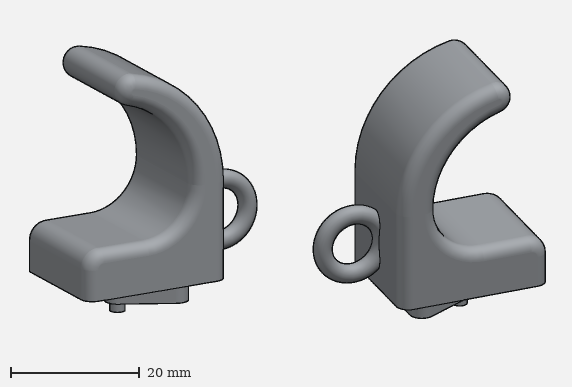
import cadquery as cq
import math

body_width = 20.0
base_length = 25.0
base_height = 8.0
wall_thickness = 6.0
inner_corner_radius = 8.0
toe_radius = 3.0
side_fillet = 2.0

nose_radius = 2.5
nose_reach = 16.55
nose_height = 33.0

ring_radius = 5.0
ring_wire_radius = 1.5
ring_offset = 4.0
ring_height = 8.0

key_height = 4.0
key_corner_radius = 2.0
key_half_spacing = 4.05
key_rear_reach = 6.0
key_tip_reach = 14.1
pin_diameter = 2.4
pin_length = 1.6

arm_start = base_height + inner_corner_radius
nose_rise = nose_height - arm_start
nose_run = nose_reach - wall_thickness

outer_radius = (nose_reach**2 + nose_rise**2 - nose_radius**2) / (2 * (nose_reach - nose_radius))
inner_radius = (nose_run**2 + nose_rise**2 - nose_radius**2) / (2 * (nose_run + nose_radius))


def on_circle(center, radius, angle):
    """Point on a circle at an angle in radians."""
    return (center[0] + radius * math.cos(angle), center[1] + radius * math.sin(angle))


def direction(start, end):
    """Angle in radians of the line from start to end."""
    return math.atan2(end[1] - start[1], end[0] - start[0])


def make_body():
    """Hook profile given as (reach towards -Y, height), extruded along X and rounded at both sides."""
    nose = (nose_reach, nose_height)
    outer_center = (outer_radius, arm_start)
    inner_center = (wall_thickness + inner_radius, arm_start)
    corner_center = (wall_thickness + inner_corner_radius, arm_start)
    toe_center = (base_length - toe_radius, base_height - toe_radius)

    outer_angle = direction(outer_center, nose)
    inner_angle = direction(inner_center, nose)
    outer_end = on_circle(outer_center, outer_radius, outer_angle)
    outer_middle = on_circle(outer_center, outer_radius, (math.pi + outer_angle) / 2)
    inner_end = on_circle(inner_center, inner_radius, inner_angle)
    inner_middle = on_circle(inner_center, inner_radius, (math.pi + inner_angle) / 2)
    nose_tip = on_circle(nose, nose_radius, (outer_angle + inner_angle - math.pi) / 2)
    corner_middle = on_circle(corner_center, inner_corner_radius, math.radians(225))
    toe_middle = on_circle(toe_center, toe_radius, math.radians(45))

    profile_plane = cq.Plane(origin=(body_width / 2, 0, 0), xDir=(0, -1, 0), normal=(-1, 0, 0))
    body = (
        cq.Workplane(profile_plane)
        .moveTo(0, 0)
        .lineTo(0, arm_start)
        .threePointArc(outer_middle, outer_end)
        .threePointArc(nose_tip, inner_end)
        .threePointArc(inner_middle, (wall_thickness, arm_start))
        .threePointArc(corner_middle, (corner_center[0], base_height))
        .lineTo(toe_center[0], base_height)
        .threePointArc(toe_middle, (base_length, toe_center[1]))
        .lineTo(base_length, 0)
        .close()
        .extrude(body_width)
    )
    side_edges = body.faces("<X or >X").edges("not <Z")
    return side_edges.fillet(side_fillet)


def make_ring():
    """Ring standing in the YZ plane, sunk partly into the back wall."""
    ring = cq.Solid.makeTorus(
        ring_radius,
        ring_wire_radius,
        cq.Vector(0, ring_offset, ring_height),
        cq.Vector(1, 0, 0),
    )
    return cq.Workplane(ring)


def make_key():
    """Triangular block under the base that points to -Y."""
    corner_centers = [
        (-key_half_spacing, -key_rear_reach),
        (key_half_spacing, -key_rear_reach),
        (0, -key_tip_reach),
    ]
    return (
        cq.Workplane("XY")
        .polyline(corner_centers)
        .close()
        .offset2D(key_corner_radius)
        .extrude(-key_height)
    )


def make_pin():
    """Pin under the tip of the key, concentric with its rounded corner."""
    return (
        cq.Workplane("XY", origin=(0, -key_tip_reach, -key_height))
        .circle(pin_diameter / 2)
        .extrude(-pin_length)
    )


result = make_body().union(make_ring()).union(make_key()).union(make_pin())